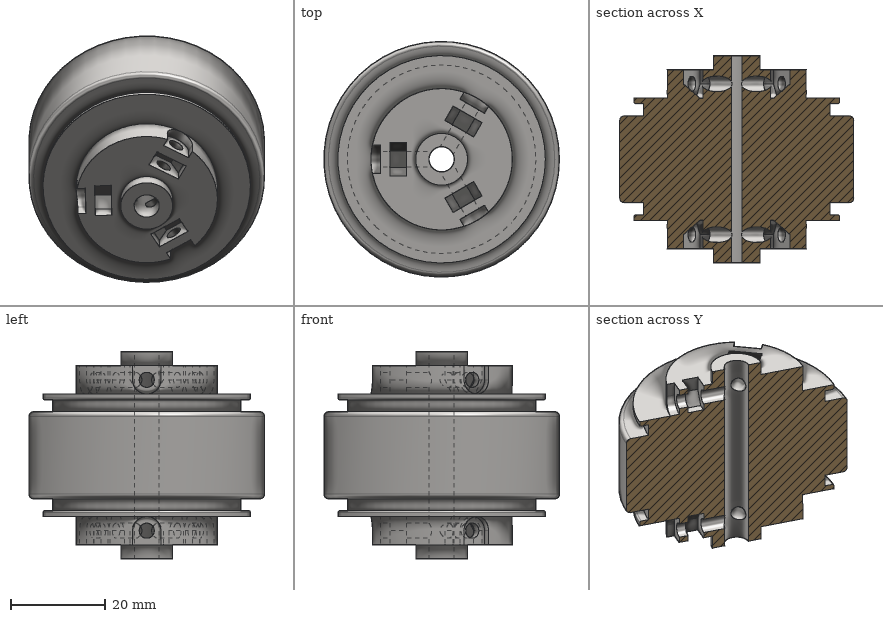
import cadquery as cq
import math

drum_diameter = 50.0
drum_height = 18.5
drum_rounding = 1.0

neck_diameter = 40.0
flange_diameter = 44.0
flange_thickness = 1.25
flange_rounding = 0.4
flange_face = 13.0
hub_diameter = 30.0
hub_height = 6.0
shaft_diameter = 11.0
shaft_height = 3.0
bore_diameter = 5.3

hub_face = flange_face + hub_height
shaft_face = hub_face + shaft_height

screw_count = 3
first_screw_angle = 180.0
screw_hole_diameter = 3.2
screw_z = flange_face + hub_height / 2
seat_width = 6.0
seat_floor_radius = 13.0
nut_across_flats = 6.1
nut_across_corners = 2 * nut_across_flats / math.sqrt(3)
nut_inner_radius = 7.5
nut_outer_radius = 11.0


def disc(diameter, bottom, top):
    """Upright cylinder on the Z axis between two heights."""
    return cq.Workplane("XY").workplane(offset=bottom).circle(diameter / 2).extrude(top - bottom)


def radial_plane(radius):
    """Plane facing +X at the given radius, centred on the screw axis."""
    return cq.Workplane("YZ", origin=(radius, 0, screw_z))


def open_slot(profile, width, inner_radius, outer_radius):
    """Extrude a profile outward and open it to the hub face at the given width."""
    depth = outer_radius - inner_radius
    opening_height = hub_face - screw_z
    opening = (
        radial_plane(inner_radius)
        .center(0, opening_height / 2)
        .rect(width, opening_height)
        .extrude(depth)
    )
    return profile.extrude(depth).union(opening)


def screw_cutter():
    """Hole, head seat and nut pocket of one screw lying along +X."""
    hub_radius = hub_diameter / 2
    hole = radial_plane(0).circle(screw_hole_diameter / 2).extrude(hub_radius)
    seat_profile = radial_plane(seat_floor_radius).circle(seat_width / 2)
    seat = open_slot(seat_profile, seat_width, seat_floor_radius, hub_radius)
    nut_profile = radial_plane(nut_inner_radius).polygon(6, nut_across_corners)
    nut_pocket = open_slot(nut_profile, nut_across_corners, nut_inner_radius, nut_outer_radius)
    return hole.union(seat).union(nut_pocket)


def upper_end():
    """Neck, flange, hub and shaft stub above the mid-plane, with the screw cuts."""
    neck = disc(neck_diameter, 0, flange_face)
    flange = disc(flange_diameter, flange_face - flange_thickness, flange_face)
    flange = flange.faces("<Z").edges().fillet(flange_rounding)
    hub = disc(hub_diameter, flange_face, hub_face)
    shaft = disc(shaft_diameter, hub_face, shaft_face)
    end = neck.union(flange).union(hub).union(shaft)
    cutter = screw_cutter()
    for index in range(screw_count):
        angle = first_screw_angle + index * 360 / screw_count
        end = end.cut(cutter.rotate((0, 0, 0), (0, 0, 1), angle))
    return end


drum = disc(drum_diameter, -drum_height / 2, drum_height / 2)
drum = drum.faces("<Z or >Z").edges().fillet(drum_rounding)

upper = upper_end()
lower = upper.mirror("XY")
bore = disc(bore_diameter, -shaft_face, shaft_face)

result = drum.union(upper).union(lower).cut(bore)